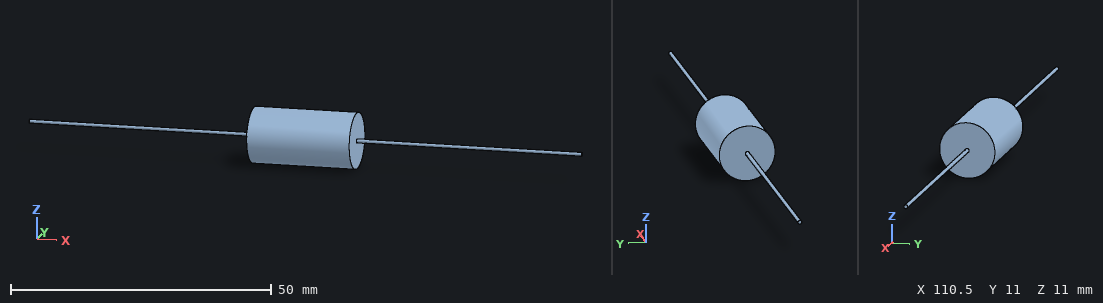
import cadquery as cq

LEAD_LENGTH = 110.5
LEAD_DIAMETER = 0.8
HOUSING_LENGTH = 20.5
HOUSING_DIAMETER = 11.0


def x_cylinder(diameter, length):
    """Cylinder along X, centred on the origin."""
    start_plane = cq.Workplane("YZ", origin=(-length / 2, 0, 0))
    return start_plane.circle(diameter / 2).extrude(length)


def make_lead():
    """Straight wire that runs through the housing and out of both ends."""
    return x_cylinder(LEAD_DIAMETER, LEAD_LENGTH)


def make_housing():
    """Round housing with a through bore that fits the lead."""
    bore = x_cylinder(LEAD_DIAMETER, HOUSING_LENGTH)
    return x_cylinder(HOUSING_DIAMETER, HOUSING_LENGTH).cut(bore)


housing = make_housing()
lead = make_lead()

result = cq.Compound.makeCompound([housing.val(), lead.val()])